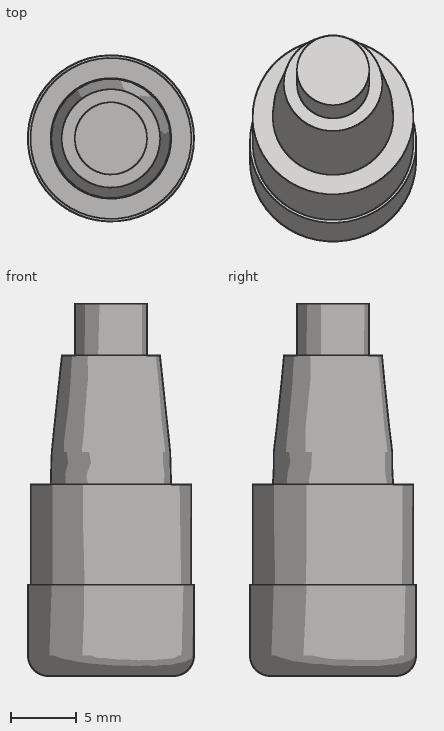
import cadquery as cq

total_height = 28.4
collar_top = 7.0
barrel_top = 14.63
taper_start = 17.1
sleeve_top = 24.45

collar_diameter = 12.7
barrel_diameter = 12.27
sleeve_base_diameter = 9.2
taper_start_diameter = 9.05
sleeve_tip_diameter = 7.5
cable_diameter = 5.5

end_radius = 1.6


def make_housing():
    """Stepped housing turned from one profile, with its closed end rounded."""
    profile = [
        (0, 0),
        (collar_diameter / 2, 0),
        (collar_diameter / 2, collar_top),
        (barrel_diameter / 2, collar_top),
        (barrel_diameter / 2, barrel_top),
        (sleeve_base_diameter / 2, barrel_top),
        (taper_start_diameter / 2, taper_start),
        (sleeve_tip_diameter / 2, sleeve_top),
        (0, sleeve_top),
    ]
    turned = cq.Workplane("XZ").polyline(profile).close().revolve(360, (0, 0), (0, 1))
    return turned.faces("<Z").edges().fillet(end_radius)


def make_cable():
    """Round cable stub standing on the sleeve tip."""
    return (
        cq.Workplane("XY", origin=(0, 0, sleeve_top))
        .circle(cable_diameter / 2)
        .extrude(total_height - sleeve_top)
    )


housing = make_housing()
cable = make_cable()

result = cq.Compound.makeCompound([housing.val(), cable.val()])